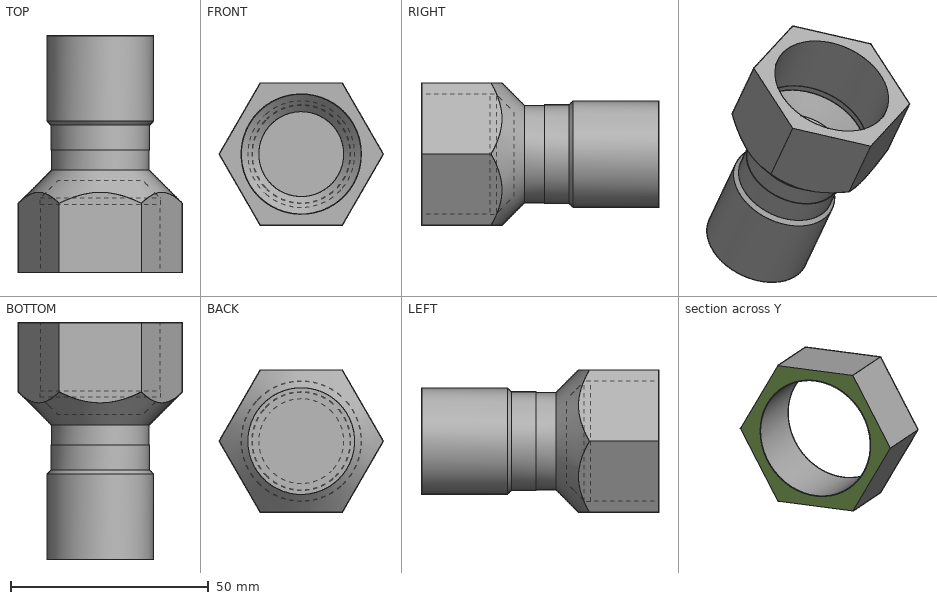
import cadquery as cq
import math

length = 60.0
across_flats = 36.0
corner_radius = across_flats / math.sqrt(3)
corner_clearance = 0.6

neck_diameter = 24.7
collar_diameter = 25.0
sleeve_diameter = 27.0

neck_start = 26.0
collar_start = 31.0
collar_end = 37.3
sleeve_start = 38.35

bore_diameter = 30.3
seat_diameter = 21.5
bore_depth = 17.3
relief_diameter = 30.5
relief_end = 18.9
seat_depth = relief_end + (bore_diameter - seat_diameter) / 2


def revolve_about_y(points):
    """Turn a (radius, distance from nut face) profile about the Y axis."""
    profile = cq.Workplane("XY").polyline(points).close()
    return profile.revolve(360, (0, 0, 0), (0, 1, 0))


def make_body():
    """Turned stepped body whose 45 degree shoulder trims the hexagon corners."""
    nut_radius = corner_radius + corner_clearance
    shoulder_start = neck_start - (nut_radius - neck_diameter / 2)
    turned = revolve_about_y([
        (0, 0),
        (nut_radius, 0),
        (nut_radius, shoulder_start),
        (neck_diameter / 2, neck_start),
        (neck_diameter / 2, collar_start),
        (collar_diameter / 2, collar_start),
        (collar_diameter / 2, collar_end),
        (sleeve_diameter / 2, sleeve_start),
        (sleeve_diameter / 2, length),
        (0, length),
    ])
    hexagon = (
        cq.Workplane("XZ")
        .polygon(6, 2 * corner_radius)
        .extrude(-length)
    )
    return turned.intersect(hexagon)


def make_socket():
    """Blind cavity opening at the nut face."""
    return revolve_about_y([
        (0, 0),
        (bore_diameter / 2, 0),
        (bore_diameter / 2, bore_depth),
        (relief_diameter / 2, bore_depth),
        (relief_diameter / 2, relief_end),
        (bore_diameter / 2, relief_end),
        (seat_diameter / 2, seat_depth),
        (0, seat_depth),
    ])


result = make_body().cut(make_socket()).translate((0, -length / 2, 0))